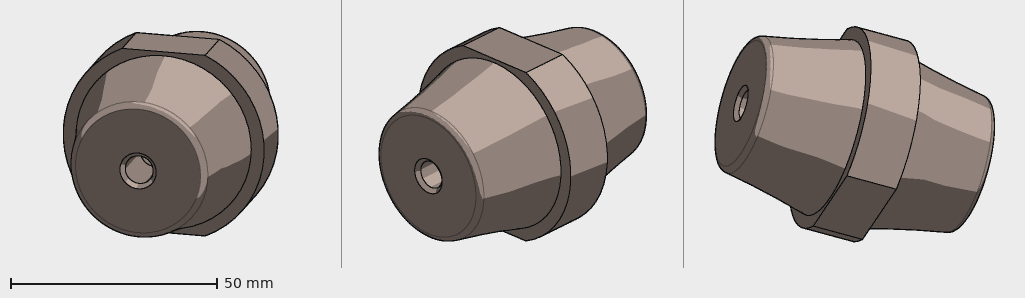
import cadquery as cq
import math

length = 60.0
half_length = length / 2

collar_diameter = 50.5
collar_width = 13.0
across_flats = 46.0

tip_diameter = 34.0
root_diameter = 44.0
flank_hollow = 0.32
rim_fillet = 1.5

hole_diameter = 7.0
hole_depth = 15.0
drill_point_angle = 118.0
countersink_diameter = 9.1
countersink_angle = 90.0


def make_body():
    """Both tapered ends, revolved from one profile (X is the radius)."""
    tip_radius = tip_diameter / 2
    root_radius = root_diameter / 2
    root_y = collar_width / 2

    flank_run = half_length - root_y
    flank_rise = root_radius - tip_radius
    chord = math.hypot(flank_run, flank_rise)
    middle_radius = (tip_radius + root_radius) / 2 - flank_hollow * flank_run / chord
    middle_y = (half_length + root_y) / 2 - flank_hollow * flank_rise / chord

    profile = (
        cq.Workplane("XY")
        .moveTo(0, -half_length)
        .lineTo(tip_radius, -half_length)
        .threePointArc((middle_radius, -middle_y), (root_radius, -root_y))
        .lineTo(root_radius, root_y)
        .threePointArc((middle_radius, middle_y), (tip_radius, half_length))
        .lineTo(0, half_length)
        .close()
    )
    body = profile.revolve(360, (0, 0, 0), (0, 1, 0))
    return body.faces("<Y or >Y").edges().fillet(rim_fillet)


def make_collar():
    """Round collar with two parallel flats facing up and down."""
    disc = cq.Workplane("XZ").circle(collar_diameter / 2).extrude(collar_width / 2, both=True)
    flats = cq.Workplane("XY").box(collar_diameter, collar_width, across_flats)
    return disc.intersect(flats)


def make_hole():
    """Countersunk blind hole with a drill point, entering from the -Y end."""
    hole_radius = hole_diameter / 2
    countersink_radius = countersink_diameter / 2
    countersink_depth = (countersink_radius - hole_radius) / math.tan(math.radians(countersink_angle / 2))
    point_depth = hole_radius / math.tan(math.radians(drill_point_angle / 2))
    floor_y = hole_depth - half_length

    return (
        cq.Workplane("XY")
        .moveTo(0, -half_length)
        .lineTo(countersink_radius, -half_length)
        .lineTo(hole_radius, countersink_depth - half_length)
        .lineTo(hole_radius, floor_y)
        .lineTo(0, floor_y + point_depth)
        .close()
        .revolve(360, (0, 0, 0), (0, 1, 0))
    )


hole = make_hole()
result = make_body().union(make_collar()).cut(hole).cut(hole.mirror("XZ"))